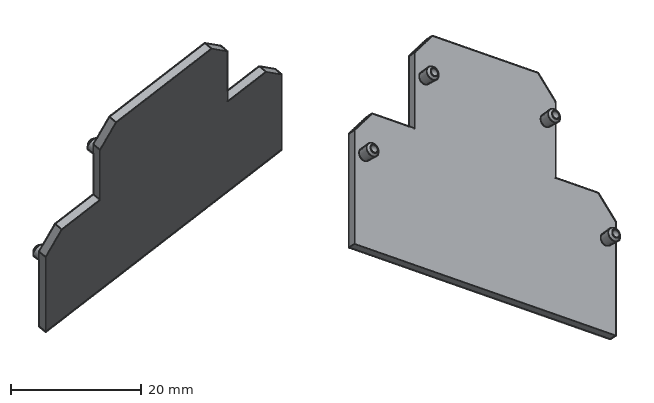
import cadquery as cq
import math

plate_thickness = 1.5
base_width = 50.0
total_height = 41.0
shoulder_height = 23.8
tower_width = 27.0
corner_run = 3.4
corner_rise = 4.0

pin_length = 2.5
pin_root_radius = 1.05
pin_head_radius = 1.15
pin_tip_radius = 0.72
pin_band_length = 0.1
pin_bevel_length = 0.4
pin_dish_radius = 0.66

lower_pin_y = 23.1
lower_pin_z = 16.1
upper_pin_y = 11.6
upper_pin_z = 33.1


def make_plate():
    """Stepped plate with cut corners, its -X face on X = 0."""
    right_half = [
        (base_width / 2, 0),
        (base_width / 2, shoulder_height - corner_rise),
        (base_width / 2 - corner_run, shoulder_height),
        (tower_width / 2, shoulder_height),
        (tower_width / 2, total_height - corner_rise),
        (tower_width / 2 - corner_run, total_height),
    ]
    left_half = [(-y, z) for y, z in reversed(right_half)]
    outline = cq.Workplane("YZ").polyline(right_half + left_half).close()
    return outline.extrude(plate_thickness)


def make_pin(y, z):
    """Pin pointing to -X: flares to a short band, then a bevelled tip with a dish."""
    tip_x = -pin_length
    bevel_start_x = tip_x + pin_bevel_length
    flare_end_x = bevel_start_x + pin_band_length
    dish_mid = pin_dish_radius * math.sqrt(0.5)

    half_section = (
        cq.Workplane("XZ")
        .lineTo(0, pin_root_radius)
        .lineTo(flare_end_x, pin_head_radius)
        .lineTo(bevel_start_x, pin_head_radius)
        .lineTo(tip_x, pin_tip_radius)
        .lineTo(tip_x, pin_dish_radius)
        .threePointArc((tip_x + dish_mid, dish_mid), (tip_x + pin_dish_radius, 0))
        .close()
    )
    pin = half_section.revolve(360, (0, 0, 0), (1, 0, 0))
    return pin.translate((0, y, z))


result = make_plate()
for pin_y, pin_z in [(lower_pin_y, lower_pin_z), (upper_pin_y, upper_pin_z)]:
    for side in (1, -1):
        result = result.union(make_pin(side * pin_y, pin_z))